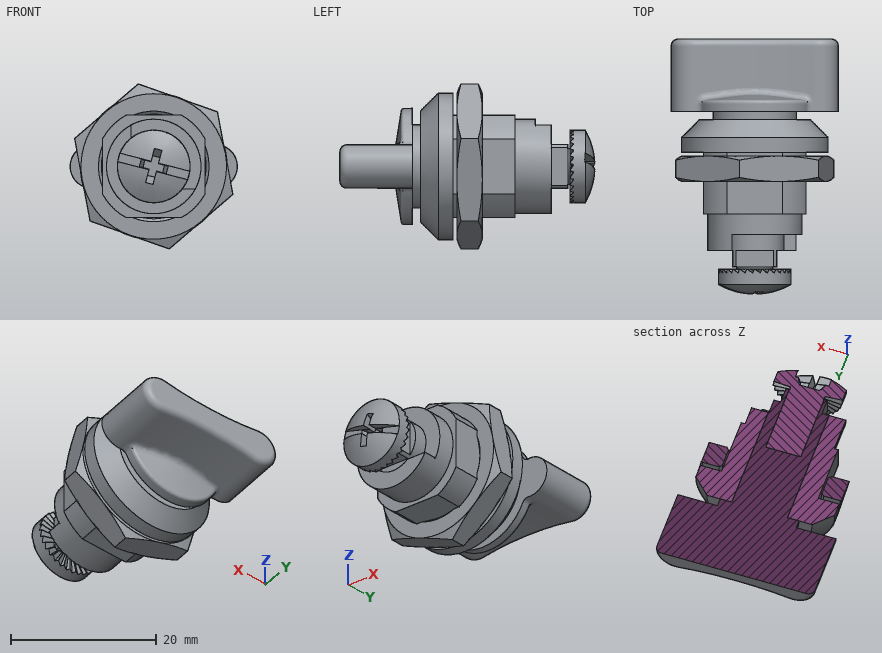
import cadquery as cq
import math


flange_cone_start = 2.05
flange_top = 4.5
handle_bottom = 5.6
wing_height = 10.0
handle_top = handle_bottom + wing_height
nut_top = -0.5
nut_thickness = 3.5
nut_bottom = nut_top - nut_thickness
threaded_end = -8.5
stop_face = -11.3
barrel_end = -13.5
square_end = -15.75
screw_head_top = -16.05
screw_rim = -18.16
screw_tip = -19.49
screw_hole_end = -5.75

selection_margin = 0.1

flange_radius = 10.1
body_radius = 8.0
body_flats = 14.1
barrel_radius = 6.5
stop_offset = 3.12

nut_across_flats = 20.0
nut_turn = 19.4
nut_chamfer_angle = 20.0
nut_bore_radius = 7.2
nut_bore_mouth_radius = 7.6

wing_end_radius = 3.0
wing_length = 23.0
wing_side_start = 8.0
waist_half_length = 0.5
wing_top_fillet = 1.0
disc_radius = 8.0
disc_rim_fillet = 0.45
disc_rim_height = 1.5
disc_cone_angle = 9.2
disc_wing_fillet = 1.0
collar_radius = 5.75
shaft_radius = 4.0
square_size = 6.06

screw_radius = 2.5
screw_head_radius = 5.0
drive_turn = 14.5
slot_width = 1.2
slot_floor = -18.1
cross_width = 1.05
cross_floor = -17.0
cross_floor_half_length = 1.4
cross_taper_angle = 25.0
tooth_count = 30
tooth_depth = 0.5
tooth_steep_share = 0.25
tooth_fill = 0.96


def cylinder(radius, y_low, y_high):
    """Round bar along Y."""
    return cq.Workplane("XZ", origin=(0, y_high, 0)).circle(radius).extrude(y_high - y_low)


def square_bar(size, y_low, y_high):
    """Square bar along Y with its flats facing X and Z."""
    return cq.Workplane("XZ", origin=(0, y_high, 0)).rect(size, size).extrude(y_high - y_low)


def turned(profile):
    """Solid of revolution about Y from (radius, y) points."""
    return cq.Workplane("XY").polyline(profile).close().revolve(360, (0, 0, 0), (0, 1, 0))


def turn_about_y(solid, angle):
    """Turn clockwise as seen from -Y."""
    return solid.rotate((0, 0, 0), (0, 1, 0), angle)


def threaded_body(y_low, y_high):
    """Round body with four flats that carries the nut."""
    return cylinder(body_radius, y_low, y_high).intersect(square_bar(body_flats, y_low, y_high))


def make_housing():
    """Flange, threaded body and stop barrel with a bore for the shaft."""
    cone_height = flange_top - flange_cone_start
    flange = turned([
        (0, 0),
        (flange_radius, 0),
        (flange_radius, flange_cone_start),
        (flange_radius - cone_height, flange_top),
        (0, flange_top),
    ])
    body = flange.union(threaded_body(threaded_end, 0))
    body = body.union(cylinder(barrel_radius, barrel_end, threaded_end))
    notch_size = barrel_radius + stop_offset
    notch = (
        cq.Workplane("XZ", origin=(-stop_offset, stop_face, -stop_offset))
        .rect(notch_size, notch_size, centered=False)
        .extrude(stop_face - barrel_end)
    )
    return body.cut(notch).cut(cylinder(shaft_radius, barrel_end, flange_top))


def make_nut():
    """Hexagon nut chamfered on both faces."""
    corner_radius = nut_across_flats / math.sqrt(3)
    face_radius = nut_across_flats / 2
    corner_drop = (corner_radius - face_radius) * math.tan(math.radians(nut_chamfer_angle))
    hexagon = (
        cq.Workplane("XZ", origin=(0, nut_top, 0))
        .polygon(6, 2 * corner_radius)
        .extrude(nut_thickness)
    )
    chamfer_envelope = turned([
        (0, nut_bottom),
        (face_radius, nut_bottom),
        (corner_radius, nut_bottom + corner_drop),
        (corner_radius, nut_top - corner_drop),
        (face_radius, nut_top),
        (0, nut_top),
    ])
    mouth_depth = nut_bore_mouth_radius - nut_bore_radius
    bore = turned([
        (0, nut_bottom),
        (nut_bore_mouth_radius, nut_bottom),
        (nut_bore_radius, nut_bottom + mouth_depth),
        (nut_bore_radius, nut_top - mouth_depth),
        (nut_bore_mouth_radius, nut_top),
        (0, nut_top),
    ])
    nut = turn_about_y(hexagon.intersect(chamfer_envelope), nut_turn)
    return nut.cut(bore).cut(threaded_body(nut_bottom, nut_top))


def make_wing():
    """Dog-bone grip: two round ends joined by concave sides with a level waist."""
    end_center = wing_length / 2 - wing_end_radius
    slope = math.asin((end_center - wing_side_start) / wing_end_radius)
    start_z = wing_end_radius * math.cos(slope)
    side_radius = (wing_side_start - waist_half_length) / math.sin(slope)
    waist_z = start_z - side_radius * (1 - math.cos(slope))
    side_middle_x = waist_half_length + side_radius * math.sin(slope / 2)
    side_middle_z = waist_z + side_radius * (1 - math.cos(slope / 2))
    return (
        cq.Workplane("XZ", origin=(0, handle_top, 0))
        .moveTo(-waist_half_length, waist_z)
        .lineTo(waist_half_length, waist_z)
        .threePointArc((side_middle_x, side_middle_z), (wing_side_start, start_z))
        .threePointArc((wing_length / 2, 0), (wing_side_start, -start_z))
        .threePointArc((side_middle_x, -side_middle_z), (waist_half_length, -waist_z))
        .lineTo(-waist_half_length, -waist_z)
        .threePointArc((-side_middle_x, -side_middle_z), (-wing_side_start, -start_z))
        .threePointArc((-wing_length / 2, 0), (-wing_side_start, start_z))
        .threePointArc((-side_middle_x, side_middle_z), (-waist_half_length, waist_z))
        .close()
        .extrude(wing_height)
        .faces(">Y")
        .edges()
        .fillet(wing_top_fillet)
    )


def make_disc():
    """Round plate under the wing with a shallow conical top and a rounded rim."""
    rim_top = handle_bottom + disc_rim_height
    apex = rim_top + disc_radius * math.tan(math.radians(disc_cone_angle))
    disc = turned([
        (0, handle_bottom),
        (disc_radius, handle_bottom),
        (disc_radius, rim_top),
        (0, apex),
    ])
    reach = disc_radius + selection_margin
    rim = cq.selectors.BoxSelector(
        (-reach, rim_top - selection_margin, -reach),
        (reach, rim_top + selection_margin, reach),
        boundingbox=True,
    )
    return disc.edges(rim).fillet(disc_rim_fillet)


def make_handle():
    """Wing, plate, collar and shaft with a square end drilled for the screw."""
    grip = make_wing().union(make_disc())
    for side in (1, -1):
        seam = cq.selectors.BoxSelector(
            (-disc_radius, handle_bottom + selection_margin, side * wing_end_radius / 2),
            (disc_radius, handle_bottom + wing_height / 3, side * wing_end_radius),
        )
        grip = grip.edges(seam).fillet(disc_wing_fillet)
    collar = cylinder(collar_radius, flange_top, handle_bottom)
    shaft = cylinder(shaft_radius, square_end, flange_top)
    square = square_bar(square_size, square_end, barrel_end)
    round_part = cylinder(shaft_radius, barrel_end, flange_top)
    shaft = shaft.intersect(square.union(round_part))
    handle = grip.union(collar).union(shaft)
    return handle.cut(cylinder(screw_radius, square_end, screw_hole_end))


def cross_arm():
    """One arm of the cross recess, wider at the mouth than at its floor."""
    depth = cross_floor - screw_tip
    mouth_half_length = cross_floor_half_length + depth * math.tan(math.radians(cross_taper_angle))
    return (
        cq.Workplane("XY")
        .moveTo(-cross_floor_half_length, cross_floor)
        .lineTo(cross_floor_half_length, cross_floor)
        .lineTo(mouth_half_length, screw_tip)
        .lineTo(-mouth_half_length, screw_tip)
        .close()
        .extrude(cross_width / 2, both=True)
    )


def tooth_groove():
    """Sawtooth groove under the head that deepens in proportion to the radius."""
    def section(plane, radius):
        """Triangular groove outline scaled to its radius."""
        scale = radius / screw_head_radius
        width = tooth_fill * 2 * math.pi * radius / tooth_count
        return plane.polyline([
            (0, 0),
            (width, 0),
            (width * (1 - tooth_steep_share), -tooth_depth * scale),
        ]).close()

    outer_radius = screw_head_radius + tooth_depth
    inner = section(cq.Workplane("XY", origin=(0, screw_head_top, screw_radius)), screw_radius)
    outer = section(inner.workplane(offset=outer_radius - screw_radius), outer_radius)
    return outer.loft(ruled=True)


def make_screw():
    """Domed screw with a combined slot and cross recess and a toothed underside."""
    dome_height = screw_rim - screw_tip
    dome_radius = (screw_head_radius**2 + dome_height**2) / (2 * dome_height)
    half_angle = math.asin(screw_head_radius / dome_radius) / 2
    dome_middle = (
        dome_radius * math.sin(half_angle),
        screw_tip + dome_radius * (1 - math.cos(half_angle)),
    )
    head = (
        cq.Workplane("XY")
        .moveTo(0, screw_head_top)
        .lineTo(screw_head_radius, screw_head_top)
        .lineTo(screw_head_radius, screw_rim)
        .threePointArc(dome_middle, (0, screw_tip))
        .close()
        .revolve(360, (0, 0, 0), (0, 1, 0))
    )
    slot = (
        cq.Workplane("XZ", origin=(0, slot_floor, 0))
        .rect(2 * screw_head_radius, slot_width)
        .extrude(slot_floor - screw_tip)
    )
    drive = slot.union(cross_arm()).union(turn_about_y(cross_arm(), 90))
    head = head.cut(turn_about_y(drive, drive_turn))
    for index in range(tooth_count):
        head = head.cut(turn_about_y(tooth_groove(), index * 360 / tooth_count))
    return head.union(cylinder(screw_radius, screw_head_top - tooth_depth, screw_hole_end))


housing = make_housing()
nut = make_nut()
handle = make_handle()
screw = make_screw()

result = cq.Compound.makeCompound([housing.val(), nut.val(), handle.val(), screw.val()])